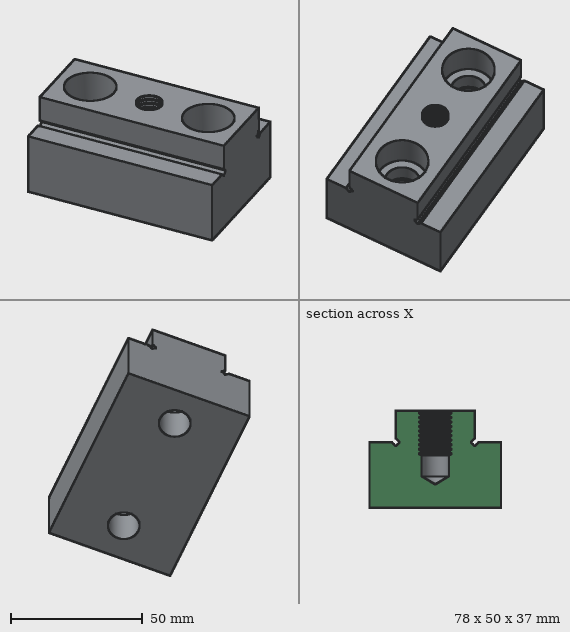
import cadquery as cq
import math

length = 78.0
base_width = 50.0
height = 37.0

tongue_width = 30.0
tongue_height = 12.0
shoulder_z = height - tongue_height

groove_side = 2.1
groove_tilt = 45.0

bolt_spacing = base_width
counterbore_diameter = 20.0
counterbore_depth = 13.0
bolt_diameter = 13.5
bolt_step_depth = 20.0
bolt_exit_diameter = 12.0

thread_minor_diameter = 10.15
thread_major_diameter = 12.0
thread_pitch = 1.7
thread_flank_angle = 30.0
thread_root_flat = thread_pitch / 8
thread_top_land = 0.3
thread_turns = 10
drill_depth = 24.95
drill_point_angle = 118.0


def make_block():
    """Base with the narrower tongue centred on top of it."""
    base = cq.Workplane("XY").box(length, base_width, shoulder_z, centered=(True, True, False))
    tongue = (
        cq.Workplane("XY")
        .workplane(offset=shoulder_z)
        .box(length, tongue_width, tongue_height, centered=(True, True, False))
    )
    return base.union(tongue)


def make_relief_groove(side):
    """Bar that cuts the relief into the corner on one side (+1 or -1 along Y)."""
    return (
        cq.Workplane("XY")
        .box(length, groove_side, groove_side)
        .rotate((0, 0, 0), (1, 0, 0), side * groove_tilt)
        .translate((0, side * tongue_width / 2, shoulder_z))
    )


def make_bolt_hole():
    """Counterbore, clearance bore and narrower exit, as one revolved cutter."""
    step_z = height - bolt_step_depth
    seat_z = height - counterbore_depth
    return (
        cq.Workplane("XZ")
        .polyline([
            (0, 0),
            (bolt_exit_diameter / 2, 0),
            (bolt_exit_diameter / 2, step_z),
            (bolt_diameter / 2, step_z),
            (bolt_diameter / 2, seat_z),
            (counterbore_diameter / 2, seat_z),
            (counterbore_diameter / 2, height),
            (0, height),
        ])
        .close()
        .revolve(360, (0, 0), (0, 1))
    )


def make_tapped_hole():
    """Blind drilled hole with stacked V rings as its thread."""
    minor_radius = thread_minor_diameter / 2
    major_radius = thread_major_diameter / 2
    drill_z = height - drill_depth
    point_height = minor_radius / math.tan(math.radians(drill_point_angle / 2))
    flank_height = (major_radius - minor_radius) * math.tan(math.radians(thread_flank_angle))
    outline = cq.Workplane("XZ").moveTo(0, height).lineTo(minor_radius, height)
    for turn in range(thread_turns):
        ring_z = height - thread_top_land - turn * thread_pitch
        root_z = ring_z - flank_height
        outline = outline.lineTo(minor_radius, ring_z)
        outline = outline.lineTo(major_radius, root_z)
        outline = outline.lineTo(major_radius, root_z - thread_root_flat)
        outline = outline.lineTo(minor_radius, root_z - thread_root_flat - flank_height)
    outline = outline.lineTo(minor_radius, drill_z).lineTo(0, drill_z - point_height)
    return outline.close().revolve(360, (0, 0), (0, 1))


result = make_block()
for side in (-1, 1):
    result = result.cut(make_relief_groove(side))
    result = result.cut(make_bolt_hole().translate((side * bolt_spacing / 2, 0, 0)))
result = result.cut(make_tapped_hole())